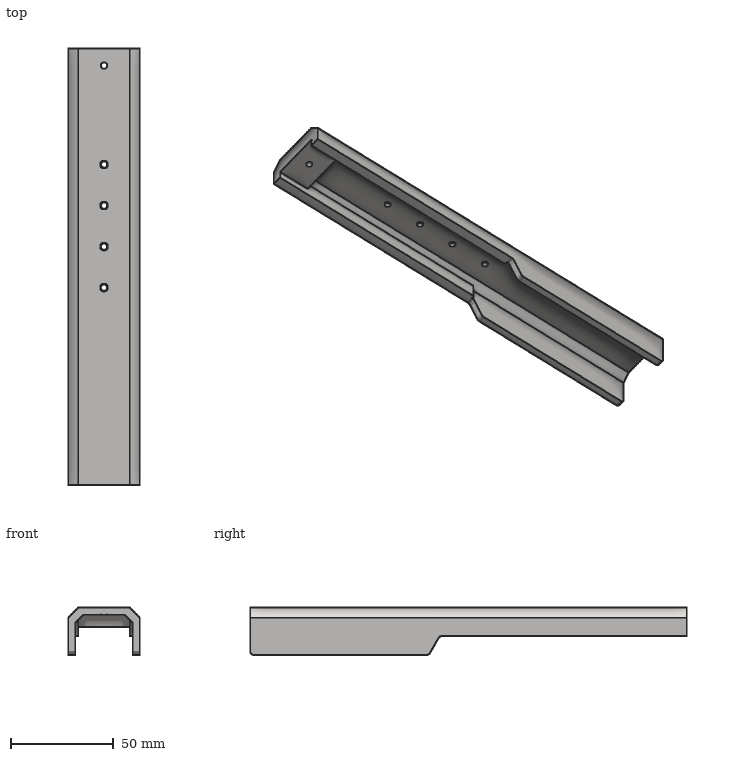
import cadquery as cq
import math

WIDTH = 35.0
LENGTH = 213.0
DEEP_HEIGHT = 23.29
SHALLOW_HEIGHT = 14.0

WALL = 3.5
TOP_CHAMFER = 5.0
INNER_CHAMFER = 4.0

SHALLOW_LENGTH = 120.5
SLOPE_ANGLE = 60.0
CORNER_RADIUS = 2.0

CHEEK_THICKNESS = 1.5
BLOCK_LENGTH = 17.0
BLOCK_BOTTOM = 9.6

HOLE_DIAMETER = 3.0
END_HOLE_INSET = 8.4
ROW_HOLE_COUNT = 4
ROW_PITCH = 20.0
ROW_INSET = 56.65
ROW_MOUTH_DIAMETER = 3.85

INNER_HALF_WIDTH = WIDTH / 2 - WALL
CHEEK_HALF_WIDTH = INNER_HALF_WIDTH - CHEEK_THICKNESS
SLOPE_TOP_Y = LENGTH - SHALLOW_LENGTH
OVERLAP = WALL / 2
SLOPE_RUN = (DEEP_HEIGHT - SHALLOW_HEIGHT) / math.tan(math.radians(SLOPE_ANGLE))


def chamfered_prism(half_width, top_z, bottom_z, chamfer, start_y=0.0):
    """Bar from start_y to the shallow end, with both upper corners cut at 45 degrees."""
    return (
        cq.Workplane("XZ", origin=(0, start_y, 0))
        .polyline([
            (-half_width, bottom_z),
            (-half_width, top_z - chamfer),
            (-half_width + chamfer, top_z),
            (half_width - chamfer, top_z),
            (half_width, top_z - chamfer),
            (half_width, bottom_z),
        ])
        .close()
        .extrude(start_y - LENGTH)
    )


def channel():
    """Inverted U with chamfered shoulders, at full depth all along."""
    outside = chamfered_prism(WIDTH / 2, 0, -DEEP_HEIGHT, TOP_CHAMFER)
    inside = chamfered_prism(INNER_HALF_WIDTH, -WALL, -DEEP_HEIGHT, INNER_CHAMFER)
    return outside.cut(inside)


def side_envelope():
    """Side outline of the part, deep at one end and shallow at the other, across the full width."""
    envelope = (
        cq.Workplane("YZ")
        .polyline([
            (0, 0),
            (LENGTH, 0),
            (LENGTH, -SHALLOW_HEIGHT),
            (SLOPE_TOP_Y, -SHALLOW_HEIGHT),
            (SLOPE_TOP_Y - SLOPE_RUN, -DEEP_HEIGHT),
            (0, -DEEP_HEIGHT),
        ])
        .close()
        .extrude(WIDTH / 2, both=True)
    )
    margin = 1.0
    rounded_edges = cq.selectors.BoxSelector(
        (-WIDTH, -margin, -DEEP_HEIGHT - margin),
        (WIDTH, SLOPE_TOP_Y + margin, -SHALLOW_HEIGHT + margin),
    )
    return envelope.edges("|X").edges(rounded_edges).fillet(CORNER_RADIUS)


def filling(start_y, bottom_z):
    """Solid core of the channel from start_y to the shallow end, reaching into the walls."""
    return chamfered_prism(INNER_HALF_WIDTH + OVERLAP, -OVERLAP, bottom_z, INNER_CHAMFER, start_y)


def cheeks():
    """Linings of both legs along the shallow end, tapering in at 45 degrees from the slope."""
    taper_end_y = SLOPE_TOP_Y + CHEEK_THICKNESS
    passage = (
        cq.Workplane("XY")
        .polyline([
            (-INNER_HALF_WIDTH, SLOPE_TOP_Y),
            (-CHEEK_HALF_WIDTH, taper_end_y),
            (-CHEEK_HALF_WIDTH, LENGTH),
            (CHEEK_HALF_WIDTH, LENGTH),
            (CHEEK_HALF_WIDTH, taper_end_y),
            (INNER_HALF_WIDTH, SLOPE_TOP_Y),
        ])
        .close()
        .extrude(-SHALLOW_HEIGHT)
    )
    return filling(SLOPE_TOP_Y, -SHALLOW_HEIGHT).cut(passage)


def block():
    """Solid block under the roof at the shallow end."""
    return filling(LENGTH - BLOCK_LENGTH, -BLOCK_BOTTOM)


def through_hole(y):
    return cq.Workplane("XY", origin=(0, y, 0)).circle(HOLE_DIAMETER / 2).extrude(-DEEP_HEIGHT)


def countersink(y):
    """45 degree cone widening the top of a hole."""
    depth = (ROW_MOUTH_DIAMETER - HOLE_DIAMETER) / 2
    return (
        cq.Workplane("XY", origin=(0, y, 0))
        .circle(ROW_MOUTH_DIAMETER / 2)
        .workplane(offset=-depth)
        .circle(HOLE_DIAMETER / 2)
        .loft()
    )


def holes():
    """Plain hole through the block and a row of countersunk holes along the top."""
    cutter = through_hole(LENGTH - END_HOLE_INSET)
    for index in range(ROW_HOLE_COUNT):
        y = LENGTH - ROW_INSET - index * ROW_PITCH
        cutter = cutter.union(through_hole(y)).union(countersink(y))
    return cutter


body = channel().intersect(side_envelope())
result = body.union(cheeks()).union(block()).cut(holes())